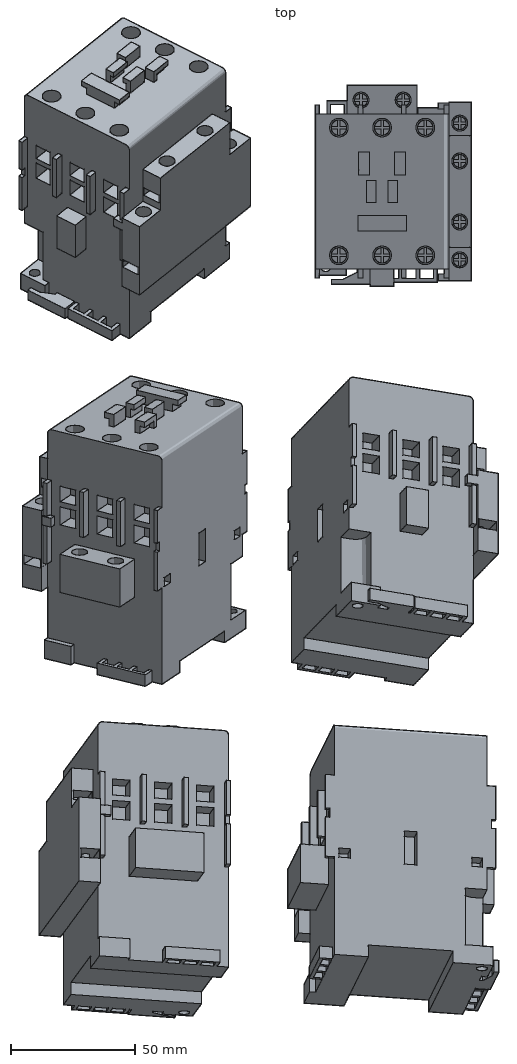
import cadquery as cq
import math


WIDTH = 54.0
HALF_DEPTH = 31.3
HEIGHT = 100.3
TOP_EDGE_RADIUS = 2.0
MID_X = WIDTH / 2
RAIL_SLOT_WIDTH = 34.7
RAIL_SLOT_HEIGHT = 5.1

CROSS_SLOT_WIDTH = 1.05
CROSS_SLOT_DEPTH = 1.0
SCREW_HEAD_HEIGHT = 2.0

POLE_PITCH = 17.4
POLE_SCREW_Y = 25.75
POLE_SHAFT_DIAMETER = 7.5
POLE_HEAD_DIAMETER = 6.2
POLE_SHAFT_DEPTH = 10.0
WIRE_OPENING_WIDTH = 7.2
WIRE_OPENING_DEPTH = 8.0
WIRE_OPENING_SPANS = ((59.3, 67.2), (69.5, 76.3))

FIN_REACH = 34.9
FIN_THICKNESS = 1.9
FIN_BOTTOM = 58.1
FIN_TOP = 78.0
TAB_THICKNESS = 1.7
RIGHT_TAB_THICKNESS = 2.0
TAB_BOTTOM = 42.45
LATCH_BOTTOM = 59.6
LATCH_TOP = 63.5
LATCH_INNER_Y = 33.2
BACK_LATCH_OUTER_Y = 35.75
LATCH_LENGTH = 4.4

BLOCK_BOTTOM = 35.5
BLOCK_TOP = 52.3
COIL_BLOCK_WIDTH = 28.2
COIL_BLOCK_REACH = 42.9
COIL_SCREW_PITCH = 17.0
COIL_SCREW_Y = 36.85
FRONT_BLOCK_X = (22.2, 31.75)
FRONT_BLOCK_REACH = 38.3
SMALL_SHAFT_DIAMETER = 6.4
SMALL_HEAD_DIAMETER = 5.2
SMALL_SHAFT_DEPTH = 7.0

AUX_WIDTH = 9.0
AUX_HALF_DEPTH = 36.05
AUX_UPPER_HALF_DEPTH = 22.5
AUX_BOTTOM = 30.4
AUX_STEP = 66.0
AUX_TOP = 82.65
AUX_SCREW_X = WIDTH + 4.3
AUX_LOWER_SCREW_Y = 27.55
AUX_UPPER_SCREW_Y = 12.3
AUX_OPENING_X = (54.45, 62.2)
AUX_OPENING_HEIGHT = 3.9
AUX_LOWER_OPENING_Z = 40.6
AUX_UPPER_OPENING_Z = 69.4
AUX_SHANK_DIAMETER = 3.3

FOOT_LENGTH = 12.6
FOOT_REACH = 33.8
FOOT_HEIGHT = 8.15
RECESS_TOP = 32.8
RECESS_RADIUS = 5.2
RECESS_CENTER = (4.3, -27.6)
FOOT_HOLE_CENTER = (4.3, -30.0)
FOOT_HOLE_DIAMETER = 4.4

LADDER_X = (26.6, 49.3)
LADDER_REACH = 36.6
LADDER_BAR = 1.6
LADDER_BAYS = 3
WEDGE_X = (6.6, 25.8)
WEDGE_REACH = 37.4
WEDGE_NOSE_Y = 35.4
WEDGE_SLOPE_X = (11.2, 16.8)
WEDGE_SLOPE_TOP_Y = 32.6

SIDE_POCKET_DEPTH = 6.0
SIDE_SLOT_WIDTH = 5.3
SIDE_SLOT_Z = (41.4, 55.8)
SIDE_WINDOW_Y = ((-29.5, -25.1), (24.7, 29.5))
SIDE_WINDOW_TOP = 46.4

TOP_PART_HEIGHT = 5.5
ACTUATOR_HEIGHT = 6.1
OVERHANG_THICKNESS = 2.4
HOOK_OUTER_OFFSET = 9.5
HOOK_WIDTH = 4.45
HOOK_Y = (6.7, 15.95)
HOOK_STEM_END_Y = 8.7
HOOK_UNDERCUT_WIDTH = 2.1
ACTUATOR_INNER_OFFSET = 2.45
ACTUATOR_WIDTH = 3.85
ACTUATOR_HALF_DEPTH = 4.5
ACTUATOR_OVERHANG = 1.6
LABEL_HALF_WIDTH = 9.8
LABEL_STEM_HALF_WIDTH = 7.2
LABEL_Y = (-16.0, -9.6)


def box(x, y, z):
    """Box between the given (low, high) pairs, in either order."""
    size = [abs(high - low) for low, high in (x, y, z)]
    corner = (min(x), min(y), min(z))
    return cq.Workplane("XY").box(*size, centered=False).translate(corner)


def cylinder(x, y, diameter, bottom, top):
    return cq.Workplane("XY").circle(diameter / 2).extrude(top - bottom).translate((x, y, bottom))


def about(center, width):
    return (center - width / 2, center + width / 2)


def sink_screw(body, x, y, top, shaft_diameter, head_diameter, depth):
    """Round shaft with a cross-recessed screw head standing on its floor."""
    floor = top - depth
    head_top = floor + SCREW_HEAD_HEIGHT
    recess_z = (head_top - CROSS_SLOT_DEPTH, head_top)
    head = cylinder(x, y, head_diameter, floor, head_top)
    head = head.cut(box(about(x, head_diameter), about(y, CROSS_SLOT_WIDTH), recess_z))
    head = head.cut(box(about(x, CROSS_SLOT_WIDTH), about(y, head_diameter), recess_z))
    return body.cut(cylinder(x, y, shaft_diameter, floor, top).cut(head))


def sink_pole_screw(body, x, y):
    return sink_screw(body, x, y, HEIGHT, POLE_SHAFT_DIAMETER, POLE_HEAD_DIAMETER, POLE_SHAFT_DEPTH)


def sink_small_screw(body, x, y, top):
    return sink_screw(body, x, y, top, SMALL_SHAFT_DIAMETER, SMALL_HEAD_DIAMETER, SMALL_SHAFT_DEPTH)


def housing():
    body = box((0, WIDTH), (-HALF_DEPTH, HALF_DEPTH), (0, HEIGHT))
    return body.edges("|Y and >Z").fillet(TOP_EDGE_RADIUS)


def add_tabs_and_fins(body):
    for side in (-1, 1):
        reach = (side * HALF_DEPTH, side * FIN_REACH)
        notch = box((0, WIDTH), (side * LATCH_INNER_Y, side * FIN_REACH), (LATCH_BOTTOM, LATCH_TOP))
        for tab_x in ((0, TAB_THICKNESS), (WIDTH - RIGHT_TAB_THICKNESS, WIDTH)):
            body = body.union(box(tab_x, reach, (TAB_BOTTOM, FIN_TOP)).cut(notch))
        for offset in (-POLE_PITCH / 2, POLE_PITCH / 2):
            body = body.union(box(about(MID_X + offset, FIN_THICKNESS), reach, (FIN_BOTTOM, FIN_TOP)))
    return body


def cut_main_terminals(body):
    for pole in (-1, 0, 1):
        x = MID_X + pole * POLE_PITCH
        for side in (-1, 1):
            depth = (side * (HALF_DEPTH - WIRE_OPENING_DEPTH), side * HALF_DEPTH)
            for span in WIRE_OPENING_SPANS:
                body = body.cut(box(about(x, WIRE_OPENING_WIDTH), depth, span))
            body = sink_pole_screw(body, x, side * POLE_SCREW_Y)
    return body


def add_front_and_back_blocks(body):
    height = (BLOCK_BOTTOM, BLOCK_TOP)
    coil_block = box(about(MID_X, COIL_BLOCK_WIDTH), (HALF_DEPTH, COIL_BLOCK_REACH), height)
    for x in about(MID_X, COIL_SCREW_PITCH):
        coil_block = sink_small_screw(coil_block, x, COIL_SCREW_Y, BLOCK_TOP)
    front_block = box(FRONT_BLOCK_X, (-FRONT_BLOCK_REACH, -HALF_DEPTH), height)
    return body.union(coil_block).union(front_block)


def cut_aux_terminal(block, side, screw_y, face_y, top, opening_z):
    """Screw shaft from above and a wire opening from the face, crossed by the screw shank."""
    opening_top = opening_z + AUX_OPENING_HEIGHT
    inner_y = screw_y - SMALL_SHAFT_DIAMETER / 2
    opening = box(AUX_OPENING_X, (side * inner_y, side * face_y), (opening_z, opening_top))
    shank = cylinder(AUX_SCREW_X, side * screw_y, AUX_SHANK_DIAMETER, opening_z, opening_top)
    block = block.cut(opening.cut(shank))
    return sink_small_screw(block, AUX_SCREW_X, side * screw_y, top)


def auxiliary_block():
    width = (WIDTH, WIDTH + AUX_WIDTH)
    block = box(width, (-AUX_HALF_DEPTH, AUX_HALF_DEPTH), (AUX_BOTTOM, AUX_STEP))
    block = block.union(box(width, (-AUX_UPPER_HALF_DEPTH, AUX_UPPER_HALF_DEPTH), (AUX_STEP, AUX_TOP)))
    for side in (-1, 1):
        block = cut_aux_terminal(
            block, side, AUX_LOWER_SCREW_Y, AUX_HALF_DEPTH, AUX_STEP, AUX_LOWER_OPENING_Z
        )
        block = cut_aux_terminal(
            block, side, AUX_UPPER_SCREW_Y, AUX_UPPER_HALF_DEPTH, AUX_TOP, AUX_UPPER_OPENING_Z
        )
    for latch_y in ((-AUX_HALF_DEPTH, -LATCH_INNER_Y), (LATCH_INNER_Y, BACK_LATCH_OUTER_Y)):
        block = block.union(box((WIDTH - LATCH_LENGTH, WIDTH), latch_y, (LATCH_BOTTOM, LATCH_TOP)))
    return block


def corner_recess():
    """Quarter-round niche above the front left foot, open to the left and to the front."""
    x, y = RECESS_CENTER
    diagonal = RECESS_RADIUS * math.sqrt(0.5)
    outline = (
        cq.Workplane("XY")
        .moveTo(0, -HALF_DEPTH)
        .lineTo(x + RECESS_RADIUS, -HALF_DEPTH)
        .lineTo(x + RECESS_RADIUS, y)
        .threePointArc((x + diagonal, y + diagonal), (x, y + RECESS_RADIUS))
        .lineTo(0, y + RECESS_RADIUS)
        .close()
    )
    return outline.extrude(RECESS_TOP - FOOT_HEIGHT).translate((0, 0, FOOT_HEIGHT))


def add_feet(body):
    body = body.cut(corner_recess())
    body = body.union(box((0, FOOT_LENGTH), (-FOOT_REACH, -HALF_DEPTH), (0, FOOT_HEIGHT)))
    body = body.union(box((WIDTH - FOOT_LENGTH, WIDTH), (HALF_DEPTH, FOOT_REACH), (0, FOOT_HEIGHT)))
    return body.cut(cylinder(*FOOT_HOLE_CENTER, FOOT_HOLE_DIAMETER, 0, FOOT_HEIGHT))


def clip_ladder():
    height = (0, RAIL_SLOT_HEIGHT)
    ladder = box(LADDER_X, (-LADDER_REACH, -HALF_DEPTH), height)
    start, end = LADDER_X
    pitch = (end - start - LADDER_BAR) / LADDER_BAYS
    for bay in range(LADDER_BAYS):
        left = start + LADDER_BAR + bay * pitch
        gap = box((left, left + pitch - LADDER_BAR), (LADDER_BAR - LADDER_REACH, -HALF_DEPTH), height)
        ladder = ladder.cut(gap)
    return ladder


def clip_wedge():
    start, end = WEDGE_X
    slope_start, slope_end = WEDGE_SLOPE_X
    outline = [
        (start, -WEDGE_REACH),
        (end, -WEDGE_REACH),
        (end, -HALF_DEPTH),
        (slope_end, -HALF_DEPTH),
        (slope_end, -WEDGE_SLOPE_TOP_Y),
        (slope_start, -WEDGE_NOSE_Y),
        (start, -WEDGE_NOSE_Y),
    ]
    return cq.Workplane("XY").polyline(outline).close().extrude(RAIL_SLOT_HEIGHT)


def add_rail_mount(body):
    ladder = clip_ladder()
    back_ladder = ladder.rotate((MID_X, 0, 0), (MID_X, 0, 1), 180)
    body = body.union(ladder).union(back_ladder).union(clip_wedge())
    return body.cut(box((0, WIDTH), about(0, RAIL_SLOT_WIDTH), (0, RAIL_SLOT_HEIGHT)))


def cut_side_pockets(body):
    depth = (0, SIDE_POCKET_DEPTH)
    body = body.cut(box(depth, about(0, SIDE_SLOT_WIDTH), SIDE_SLOT_Z))
    for window_y in SIDE_WINDOW_Y:
        body = body.cut(box(depth, window_y, (TAB_BOTTOM, SIDE_WINDOW_TOP)))
    return body


def add_top_parts(body):
    top = HEIGHT + TOP_PART_HEIGHT
    actuator_top = HEIGHT + ACTUATOR_HEIGHT
    step = top - OVERHANG_THICKNESS
    for side in (-1, 1):
        outer_x = MID_X + side * HOOK_OUTER_OFFSET
        hook = box((outer_x, outer_x - side * HOOK_WIDTH), HOOK_Y, (HEIGHT, top))
        undercut_x = (outer_x, outer_x - side * HOOK_UNDERCUT_WIDTH)
        hook = hook.cut(box(undercut_x, (HOOK_STEM_END_Y, HOOK_Y[1]), (HEIGHT, step)))

        inner_x = MID_X + side * ACTUATOR_INNER_OFFSET
        outer_x = inner_x + side * ACTUATOR_WIDTH
        actuator_y = about(0, 2 * ACTUATOR_HALF_DEPTH)
        actuator = box((inner_x, outer_x), actuator_y, (HEIGHT, actuator_top))
        undercut_x = (inner_x, inner_x + side * ACTUATOR_OVERHANG)
        undercut_z = (HEIGHT, actuator_top - OVERHANG_THICKNESS)
        actuator = actuator.cut(box(undercut_x, actuator_y, undercut_z))
        body = body.union(hook).union(actuator)

    label_stem = box(about(MID_X, 2 * LABEL_STEM_HALF_WIDTH), LABEL_Y, (HEIGHT, step))
    label_plate = box(about(MID_X, 2 * LABEL_HALF_WIDTH), LABEL_Y, (step, top))
    return body.union(label_stem).union(label_plate)


contactor = housing()
contactor = add_tabs_and_fins(contactor)
contactor = cut_main_terminals(contactor)
contactor = add_front_and_back_blocks(contactor)
contactor = contactor.union(auxiliary_block())
contactor = add_feet(contactor)
contactor = add_rail_mount(contactor)
contactor = cut_side_pockets(contactor)
result = add_top_parts(contactor)